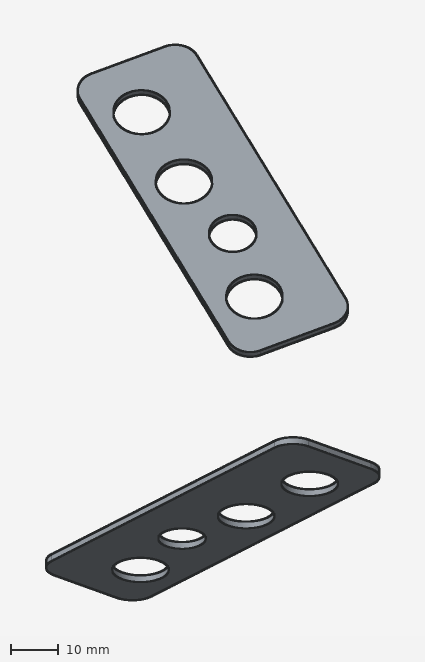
import cadquery as cq

plate_length = 83.06
plate_width = 27.3
plate_thickness = 1.6
corner_radius = 5.08

large_hole_diameter = 11.91
small_hole_diameter = 10.0
large_hole_row_y = -3.5
large_hole_xs = (-27.55, -6.75, 27.8)
small_hole_center = (10.37, -0.27)


def make_plate():
    """Flat rectangular plate with rounded vertical corners."""
    blank = cq.Workplane("XY").box(
        plate_length, plate_width, plate_thickness, centered=(True, True, False)
    )
    return blank.edges("|Z").fillet(corner_radius)


def cut_through_holes(plate, centers, diameter):
    """Cut a round hole through the plate at each (x, y) center."""
    return plate.faces(">Z").workplane(origin=(0, 0, 0)).pushPoints(centers).hole(diameter)


large_hole_centers = [(x, large_hole_row_y) for x in large_hole_xs]

result = make_plate()
result = cut_through_holes(result, large_hole_centers, large_hole_diameter)
result = cut_through_holes(result, [small_hole_center], small_hole_diameter)